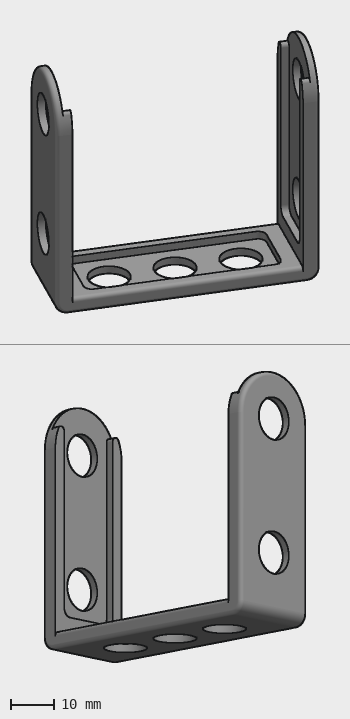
import cadquery as cq

length = 63.45
width = 22.3
height = 58.7

wall = 4.0
recess_depth = wall / 2
rim = 3.0
recess_end_margin = 4.0
recess_corner_radius = 2.0

bend_radius = 3.0
edge_radius = 1.0
rib_tip_radius = 1.0

hole_diameter = 10.0
base_hole_pitch = 15.85
arm_hole_pitch = 31.7

arm_radius = width / 2
arm_center_z = height - arm_radius
recess_width = width - 2 * rim
inner_length = length - 2 * wall
arm_recess_bottom = wall + recess_end_margin


def make_shell():
    """U-shaped channel with round arm ends and softened outer edges."""
    block = cq.Workplane("XY").box(width, length, height, centered=(True, True, False))
    block = block.edges("|X and <Z").fillet(bend_radius)
    arm_outline = (
        cq.Workplane("XZ")
        .moveTo(-arm_radius, 0)
        .lineTo(arm_radius, 0)
        .lineTo(arm_radius, arm_center_z)
        .threePointArc((0, height), (-arm_radius, arm_center_z))
        .close()
        .extrude(length / 2, both=True)
    )
    block = block.intersect(arm_outline)
    block = block.faces("<Y or >Y or <Z").edges().fillet(edge_radius)
    opening = (
        cq.Workplane("XY", origin=(0, 0, wall))
        .box(width, inner_length, height, centered=(True, True, False))
    )
    shell = block.cut(opening)
    upper_edges = cq.selectors.BoxSelector(
        (-width, -inner_length / 4, wall - edge_radius / 2),
        (width, inner_length / 4, wall + edge_radius / 2),
    )
    return shell.edges("|Y").edges(upper_edges).fillet(edge_radius)


def cut_base_recess(body):
    recess = (
        cq.Workplane("XY", origin=(0, 0, wall - recess_depth))
        .rect(recess_width, inner_length - 2 * recess_end_margin)
        .extrude(recess_depth)
        .edges("|Z")
        .fillet(recess_corner_radius)
    )
    return body.cut(recess)


def cut_arm_recesses(body):
    """Recess the inner arm faces, open at the top, leaving a rib along each side."""
    recess = (
        cq.Workplane("XY", origin=(0, 0, arm_recess_bottom))
        .box(recess_width, inner_length + 2 * recess_depth, height, centered=(True, True, False))
        .edges("|Y and <Z")
        .fillet(recess_corner_radius)
    )
    return body.cut(recess)


def round_rib_tips(body):
    """Round each sharp rib tip, where a recess side meets the round arm end."""
    tip_edges = cq.selectors.BoxSelector(
        (-recess_width / 2 - rim / 2, -length / 2, arm_center_z),
        (recess_width / 2 + rim / 2, length / 2, height),
    )
    return body.edges("|Y").edges(tip_edges).fillet(rib_tip_radius)


def cut_holes(body):
    base_holes = (
        cq.Workplane("XY")
        .rarray(0.65, base_hole_pitch, 1, 3)
        .circle(hole_diameter / 2)
        .extrude(wall)
    )
    arm_holes = (
        cq.Workplane("XZ")
        .pushPoints([(0, arm_center_z), (0, arm_center_z - arm_hole_pitch)])
        .circle(hole_diameter / 2)
        .extrude(length / 2, both=True)
    )
    return body.cut(base_holes).cut(arm_holes)


def mirror_front_half(body):
    """Keep the half with the -Y arm and mirror it, so that both arms are identical."""
    half_space = (
        cq.Workplane("XY")
        .box(width, length / 2, height, centered=(True, False, False))
        .translate((0, -length / 2, 0))
    )
    half = body.intersect(half_space)
    return half.union(half.mirror("XZ")).clean()


bracket = round_rib_tips(cut_arm_recesses(cut_base_recess(make_shell())))
result = mirror_front_half(cut_holes(bracket))